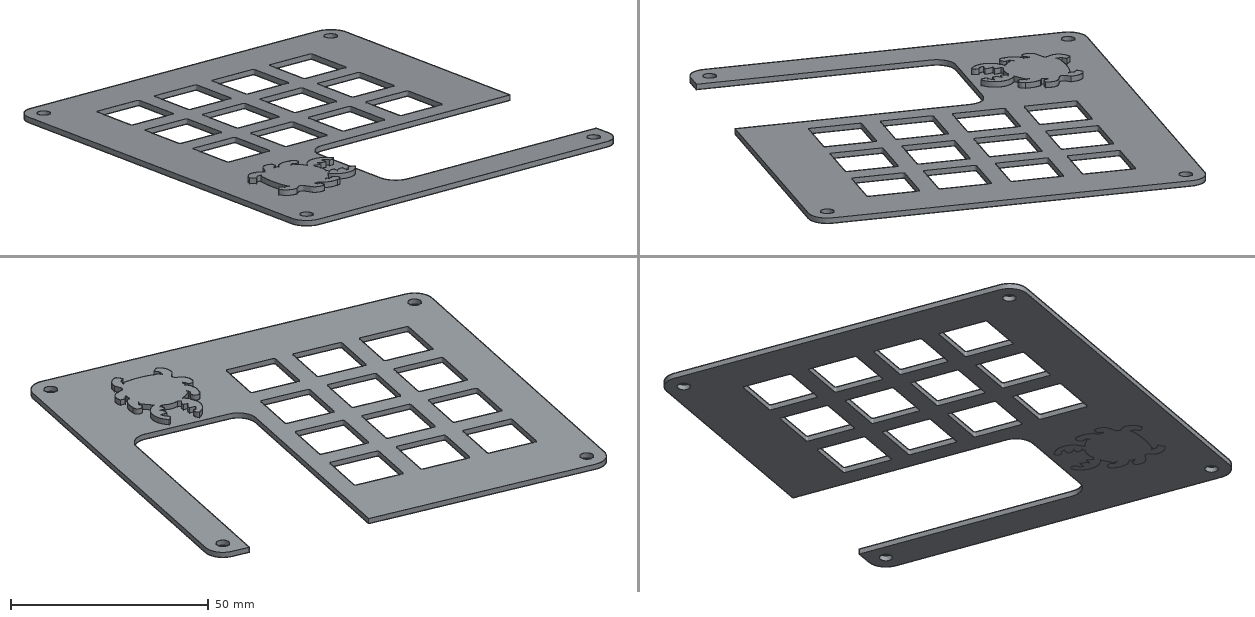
import cadquery as cq

plate_width = 113.9
plate_depth = 104.9
plate_thickness = 1.5
corner_radius = 5.0

screw_hole_diameter = 3.4

key_columns = 3
key_rows = 4
key_pitch = 19.0
key_window = 14.0
key_corner_radius = 0.5
keypad_x = -18.3
keypad_y = -0.9

slot_width = 34.0
slot_x = 30.0
slot_floor_y = -14.7
slot_radius = 5.0

crab_rise = 1.5
crab_x = 29.8
crab_y = -32.7

shell_top = (0, 8.8)
claw = [
    [(-1.1, 8.7), (-2.2, 8.3)],
    [(-3.1, 8.8)],
    [(-2.6, 9.6), (-2.6, 10.6)],
    [(-4.0, 10.6)],
    [(-3.3, 11.6), (-3.2, 12.9)],
    [(-4.9, 12.9)],
    [(-4.4, 13.9), (-3.6, 14.3)],
    [(-3.5, 15.4), (-4.3, 16.2)],
    [(-6.8, 11.7), (-4.1, 7.4)],
]
front_leg = [
    [(-5.5, 6.4), (-7.1, 5.0)],
    [(-6.8, 4.2)],
    [(-7.4, 5.1)],
    [(-7.0, 6.1)],
    [(-8.2, 7.5), (-9.5, 6.0)],
    [(-9.6, 3.6), (-8.8, 1.8)],
    [(-8.0, 1.3)],
]
middle_leg = [
    [(-8.1, -0.3)],
    [(-8.5, 0.1)],
    [(-9.0, 1.0)],
    [(-10.4, 1.0)],
    [(-10.8, -0.6), (-9.6, -2.7)],
    [(-7.7, -3.5)],
    [(-7.2, -4.2), (-7.4, -5.1)],
]
rear_leg = [
    [(-8.2, -6.4)],
    [(-7.7, -8.9), (-5.8, -10.4)],
    [(-4.4, -9.1)],
    [(-5.5, -8.1)],
    [(-5.6, -6.6)],
    [(-5.2, -7.1)],
    [(-2.6, -7.5), (0, -7.6)],
]


def make_plate(crab):
    plate = (
        cq.Workplane()
        .rect(plate_width, plate_depth)
        .extrude(plate_thickness)
        .edges("|Z")
        .fillet(corner_radius)
    )
    screw_holes = (
        cq.Workplane()
        .rect(plate_width - 2 * corner_radius, plate_depth - 2 * corner_radius, forConstruction=True)
        .vertices()
        .circle(screw_hole_diameter / 2)
        .extrude(plate_thickness)
    )
    key_windows = (
        cq.Workplane()
        .center(keypad_x, keypad_y)
        .rarray(key_pitch, key_pitch, key_columns, key_rows)
        .rect(key_window, key_window)
        .extrude(plate_thickness)
        .edges("|Z")
        .fillet(key_corner_radius)
    )
    slot_length = plate_depth / 2 - slot_floor_y
    slot = (
        cq.Workplane()
        .center(slot_x, slot_floor_y + slot_length / 2)
        .rect(slot_width, slot_length)
        .extrude(plate_thickness)
        .edges("|Z and <Y")
        .fillet(slot_radius)
    )
    return plate.cut(screw_holes).cut(key_windows).cut(slot).cut(crab)


def make_crab():
    half_outline = cq.Workplane(origin=(crab_x, crab_y)).moveTo(*shell_top)
    for segment in claw + front_leg + middle_leg + rear_leg:
        if len(segment) == 1:
            half_outline = half_outline.lineTo(*segment[0])
        else:
            half_outline = half_outline.threePointArc(*segment)
    return half_outline.mirrorY().extrude(plate_thickness + crab_rise)


crab = make_crab()
plate = make_plate(crab)
result = cq.Compound.makeCompound([plate.solids().val(), crab.val()])